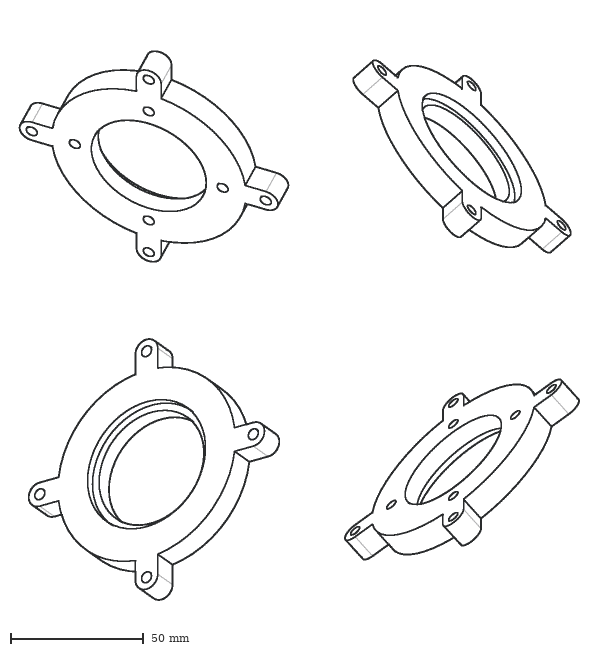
import cadquery as cq

span = 105.0
thickness = 10.5
disc_diameter = 79.0
bore_diameter = 46.6

recess_diameter = 52.5
recess_depth = 3.5

ear_width = 10.0
ear_hole_radius = span / 2 - ear_width / 2
hole_diameter = 4.4

blind_hole_radius = 30.0
blind_hole_depth = 7.0


def cylinder(diameter, depth, start=0):
    """Cylinder along +Y, starting at the given distance behind the front face."""
    return cq.Workplane("XZ", origin=(0, start, 0)).circle(diameter / 2).extrude(-depth)


def cross_holes(radius, depth):
    """Four holes on the X and Z axes, drilled from the front face."""
    return (
        cq.Workplane("XZ")
        .polarArray(radius, 0, 360, 4)
        .circle(hole_diameter / 2)
        .extrude(-depth)
    )


body = cylinder(disc_diameter, thickness)
for angle in (0, 90):
    bar = cq.Workplane("XZ").slot2D(span, ear_width, angle).extrude(-thickness)
    body = body.union(bar)

result = (
    body.cut(cylinder(bore_diameter, thickness))
    .cut(cylinder(recess_diameter, recess_depth, thickness - recess_depth))
    .cut(cross_holes(ear_hole_radius, thickness))
    .cut(cross_holes(blind_hole_radius, blind_hole_depth))
)